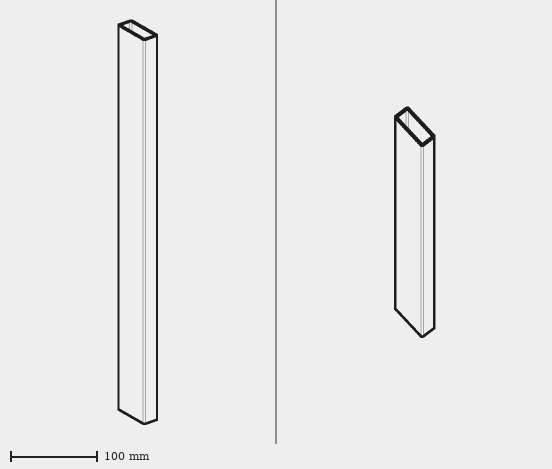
import cadquery as cq

width = 50.0
depth = 20.0
length = 500.0
wall = 2.0
corner_radius = wall


def rounded_bar(size_x, size_y):
    """Solid bar of the full length with rounded upright edges."""
    bar = cq.Workplane("XY").rect(size_x, size_y).extrude(length)
    return bar.edges("|Z").fillet(corner_radius)


outside = rounded_bar(width, depth)
bore = rounded_bar(width - 2 * wall, depth - 2 * wall)

result = outside.cut(bore)